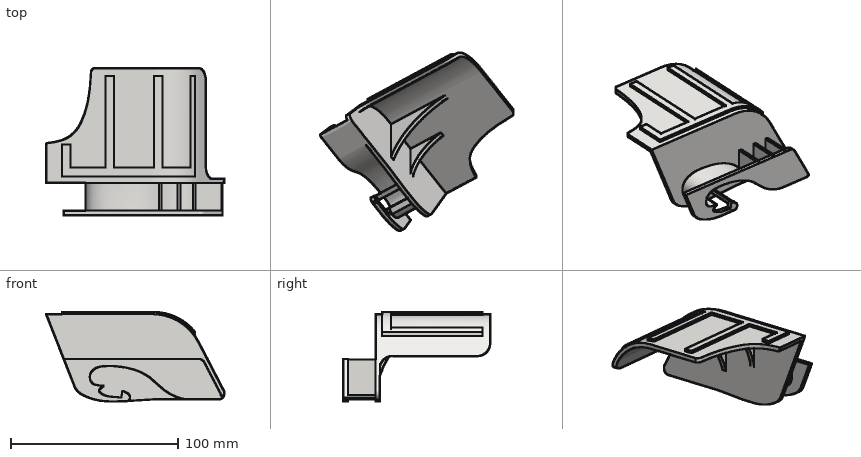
import cadquery as cq
import math

SHELF_DEPTH = 68.6
SHELF_THICK = 2.8
MAIN_THICK = 2.6
GAP = 16.6
FRONT_THICK = 2.8
FRONT_INNER_Y = -GAP
FRONT_OUTER_Y = FRONT_INNER_Y - FRONT_THICK

BEND_X = 63.8
BEND_RADIUS = 30.9
SLOPE_ANGLE = math.radians(62.6)
SLOPE_X = math.cos(SLOPE_ANGLE)
SLOPE_Z = -math.sin(SLOPE_ANGLE)
SLOPE_END_Z = -25.2
SHELF_CORNER_RADIUS = 8.0
FLARE_RADIUS = 8.1
FLARE_DROP = 6.4

LEFT_END = (17.0, -43.2)
LEFT_SLANT = -LEFT_END[0] / LEFT_END[1]

PLATE_BASE_Z = -51.0
PLATE_LOW_Z = -52.2
TIP_X = 106.6

FRONT_TOP_Z = -26.7
FRONT_INSET = 2.9
FRONT_CORNER_RADIUS = 4.3

WALL_THICK = 2.6
SPACER_TOP_Z = -27.1
SPACER_THICK = 1.6
SPACER_STARTS = (67.5, 78.7, 87.9)

TRACK_HEIGHT = 1.4
TRACK_WIDTH = 5.0
TRACK_START_X = 9.5
TRACK_END_X = 89.0
TRACK_START_Y = 3.8
TRACK_BASE_WIDTH = 5.2
TRACK_LONG_END_Y = 64.0
TRACK_SHORT_END_Y = 22.8
TRACK_LONG_STARTS = (35.6, 64.6, 86.5)

GUSSET_THICK = 2.8
GUSSETS = (
    (37.3, 21.5, 25.9, (6.4, 10.7)),
    (58.6, 38.4, 34.1, (16.8, 9.8)),
)

CLEARANCE = 5.3


def xz_prism(sketch, y_start, y_end):
    """Extrude a closed XZ outline between two Y positions."""
    return sketch.extrude(y_start - y_end).translate((0, y_start, 0))


def bend_point(offset, angle):
    """Point on the bend arc, offset outwards from the shelf's top surface."""
    radius = BEND_RADIUS + offset
    return (BEND_X + radius * math.sin(angle), radius * math.cos(angle) - BEND_RADIUS)


def slope_point(offset, z):
    """Point at height z on the straight slope, offset outwards."""
    x_start, z_start = bend_point(offset, SLOPE_ANGLE)
    return (x_start + (z - z_start) * SLOPE_X / SLOPE_Z, z)


def shelf_band(inner, outer, end_z):
    """Bent sheet between two offsets from the shelf's top surface."""
    outline = (
        cq.Workplane("XZ")
        .moveTo(-outer * LEFT_SLANT, outer)
        .lineTo(BEND_X, outer)
        .threePointArc(bend_point(outer, SLOPE_ANGLE / 2), bend_point(outer, SLOPE_ANGLE))
        .lineTo(*slope_point(outer, end_z))
        .lineTo(*slope_point(inner, end_z))
        .lineTo(*bend_point(inner, SLOPE_ANGLE))
        .threePointArc(bend_point(inner, SLOPE_ANGLE / 2), (BEND_X, inner))
        .lineTo(-inner * LEFT_SLANT, inner)
        .close()
    )
    return xz_prism(outline, 0, SHELF_DEPTH)


def plate_blank(y_start, y_end):
    """Full plate outline: slanted ends, bent top corner and bellied lower edge."""
    outline = (
        cq.Workplane("XZ")
        .lineTo(BEND_X, 0)
        .threePointArc(bend_point(0, SLOPE_ANGLE / 2), bend_point(0, SLOPE_ANGLE))
        .lineTo(*slope_point(0, -44.8))
        .spline([(TIP_X, -47.4), (105.5, -50.0), (103.3, PLATE_BASE_Z)], includeCurrent=True)
        .lineTo(64.5, PLATE_BASE_Z)
        .spline(
            [(50.5, -51.9), (41.0, PLATE_LOW_Z), (33.5, -51.9), (23.8, -49.3), (19.4, -46.6), LEFT_END],
            includeCurrent=True,
        )
        .close()
    )
    return xz_prism(outline, y_start, y_end)


def front_trim():
    """Region with a level top and an inset, rounded right side, spanning gap and front plate."""
    top_right = slope_point(0, FRONT_TOP_Z)[0] - FRONT_INSET
    bottom_z = PLATE_LOW_Z - CLEARANCE
    bottom_right = slope_point(0, bottom_z)[0] - FRONT_INSET
    outline = cq.Workplane("XZ").polyline(
        [(0, FRONT_TOP_Z), (top_right, FRONT_TOP_Z), (bottom_right, bottom_z), (0, bottom_z)]
    ).close()
    region = xz_prism(outline, FRONT_OUTER_Y, 0)
    return region.edges("|Y").edges(">Z").edges(">X").fillet(FRONT_CORNER_RADIUS)


def shelf():
    """Bent shelf with a swept-away left rear corner and rounded lower edge."""
    plan = (
        cq.Workplane("XY")
        .lineTo(0, 22.6)
        .threePointArc((0.3, 23.5), (1.2, 23.9))
        .spline(
            [(5.4, 24.5), (11.8, 26.5), (18.1, 31.7), (21.6, 38.0), (23.9, 44.2), (25.6, 52.2), (26.8, 65.6)],
            includeCurrent=True,
        )
        .threePointArc((27.3, 67.5), (28.7, SHELF_DEPTH))
        .lineTo(TIP_X, SHELF_DEPTH)
        .lineTo(TIP_X, 0)
        .close()
        .extrude(-TIP_X)
    )
    diagonal = math.sqrt(0.5)
    corner_y = SHELF_DEPTH - SHELF_CORNER_RADIUS
    corner_z = SLOPE_END_Z + SHELF_CORNER_RADIUS
    flare_z = SLOPE_END_Z - FLARE_DROP
    side = (
        cq.Workplane("YZ")
        .lineTo(0, flare_z)
        .lineTo(MAIN_THICK, flare_z)
        .threePointArc((4.7, SLOPE_END_Z - 2.0), (MAIN_THICK + FLARE_RADIUS, SLOPE_END_Z))
        .lineTo(corner_y, SLOPE_END_Z)
        .threePointArc(
            (corner_y + SHELF_CORNER_RADIUS * diagonal, corner_z - SHELF_CORNER_RADIUS * diagonal),
            (SHELF_DEPTH, corner_z),
        )
        .lineTo(SHELF_DEPTH, 0)
        .close()
        .extrude(TIP_X)
    )
    return shelf_band(-SHELF_THICK, 0, flare_z).intersect(plan).intersect(side)


def track():
    """Comb-shaped raised track following the shelf's top surface."""

    def bar(x_start, x_end, y_end):
        size = (x_end - x_start, y_end - TRACK_START_Y, TIP_X)
        return cq.Workplane("XY").box(*size, centered=(False, False, True)).translate((x_start, TRACK_START_Y, 0))

    comb = bar(TRACK_START_X, TRACK_END_X, TRACK_START_Y + TRACK_BASE_WIDTH)
    comb = comb.union(bar(TRACK_START_X, TRACK_START_X + TRACK_WIDTH, TRACK_SHORT_END_Y))
    for x_start in TRACK_LONG_STARTS:
        comb = comb.union(bar(x_start, min(x_start + TRACK_WIDTH, TRACK_END_X), TRACK_LONG_END_Y))
    return shelf_band(-SHELF_THICK / 2, TRACK_HEIGHT, SLOPE_END_Z).intersect(comb)


def hook_opening(y_start, y_end):
    """Wave-shaped opening with a barb on its left and a lip below, open at the bottom."""
    low_z = PLATE_LOW_Z - CLEARANCE
    outline = (
        cq.Workplane("XZ")
        .moveTo(85.0, low_z)
        .lineTo(85.0, PLATE_BASE_Z)
        .spline(
            [
                (78.3, -49.6), (70.6, -45.3), (66.0, -41.3), (61.4, -37.4), (53.3, -33.4), (42.8, -31.1),
                (34.3, -31.0), (29.4, -32.4), (27.0, -34.7), (26.1, -37.9), (26.7, -39.9), (28.3, -41.8),
            ],
            includeCurrent=True,
        )
        .spline([(31.2, -42.5), (34.3, -42.6)], includeCurrent=True)
        .lineTo(34.3, -43.2)
        .spline([(32.6, -44.4), (31.7, -45.8), (32.9, -47.3), (36.5, -48.9), (44.9, -49.9)], includeCurrent=True)
        .lineTo(45.5, -46.6)
        .threePointArc((45.7, -46.1), (46.2, -45.8))
        .lineTo(47.9, -46.9)
        .spline([(50.0, -48.8), (50.0, -50.8), (47.0, -51.9)], includeCurrent=True)
        .lineTo(47.0, low_z)
        .close()
    )
    return xz_prism(outline, y_start, y_end)


def hook_wall():
    """Wall of even thickness around the opening, running right along the lower edge."""
    wall_top_z = PLATE_BASE_Z + WALL_THICK
    outline = (
        cq.Workplane("XZ")
        .moveTo(TIP_X, PLATE_BASE_Z)
        .lineTo(TIP_X, wall_top_z)
        .lineTo(85.3, wall_top_z)
        .spline(
            [
                (79.3, -47.2), (72.1, -43.2), (67.6, -39.3), (62.8, -35.3), (54.3, -30.9), (43.0, -28.6),
                (34.1, -28.5), (28.3, -30.2), (24.7, -33.4), (23.6, -37.9), (24.3, -40.9), (26.7, -43.9),
                (30.8, -45.1),
            ],
            includeCurrent=True,
        )
        .lineTo(34.7, -43.0)
        .lineTo(64.5, PLATE_BASE_Z)
        .close()
    )
    return xz_prism(outline, FRONT_INNER_Y, 0)


def lip_bar():
    """Slim bar joining the top of the lip to the main plate."""
    bar_base_z = -47.8
    outline = (
        cq.Workplane("XZ")
        .moveTo(45.3, bar_base_z)
        .lineTo(45.5, -46.6)
        .threePointArc((45.7, -46.1), (46.2, -45.8))
        .lineTo(47.9, -46.9)
        .lineTo(49.0, bar_base_z)
        .close()
    )
    return xz_prism(outline, FRONT_INNER_Y, 0)


def spacers():
    """Upright ribs standing on the hook wall between the plates."""
    height = SPACER_TOP_Z - PLATE_BASE_Z
    ribs = cq.Workplane("XY")
    for x_start in SPACER_STARTS:
        rib = cq.Workplane("XY").box(SPACER_THICK, GAP, height, centered=False)
        ribs = ribs.add(rib.translate((x_start, FRONT_INNER_Y, PLATE_BASE_Z)))
    return ribs.combine()


def gusset(x_start, reach, drop, curve_point):
    """Concave web joining the shelf's underside to the rear of the main plate."""
    curve_y, curve_drop = curve_point
    root_y = MAIN_THICK / 2
    root_z = -SHELF_THICK / 2
    return (
        cq.Workplane("YZ")
        .moveTo(root_y, root_z)
        .lineTo(MAIN_THICK + reach, root_z)
        .lineTo(MAIN_THICK + reach, -SHELF_THICK)
        .threePointArc(
            (MAIN_THICK + curve_y, -SHELF_THICK - curve_drop),
            (MAIN_THICK, -SHELF_THICK - drop),
        )
        .lineTo(root_y, -SHELF_THICK - drop)
        .close()
        .extrude(GUSSET_THICK)
        .translate((x_start, 0, 0))
    )


main_plate = plate_blank(0, MAIN_THICK)
front_plate = plate_blank(FRONT_OUTER_Y, FRONT_INNER_Y)
bridge = hook_wall().union(spacers()).intersect(plate_blank(FRONT_INNER_Y, 0))
holder = front_plate.union(bridge).intersect(front_trim())
holder = holder.cut(hook_opening(FRONT_OUTER_Y, 0)).union(lip_bar())

result = main_plate.union(shelf()).union(track()).union(holder)
for gusset_sizes in GUSSETS:
    result = result.union(gusset(*gusset_sizes))